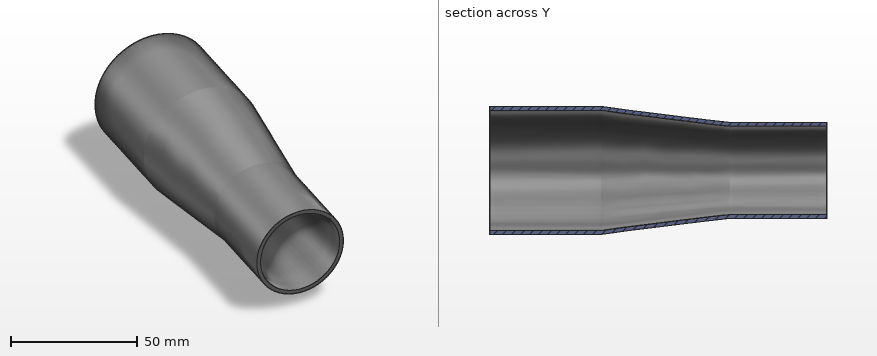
import cadquery as cq

total_length = 133.4
large_diameter = 50.8
small_diameter = 38.1
large_bore_diameter = 47.5
small_bore_diameter = 34.8
large_tube_length = 44.4
small_tube_length = 38.1

cone_start = large_tube_length
cone_end = total_length - small_tube_length


def reducer_solid(large_end_diameter, small_end_diameter):
    """Solid of revolution about X: large cylinder, cone, small cylinder."""
    large_radius = large_end_diameter / 2
    small_radius = small_end_diameter / 2
    half_profile = (
        cq.Workplane("XY")
        .moveTo(0, 0)
        .lineTo(0, large_radius)
        .lineTo(cone_start, large_radius)
        .lineTo(cone_end, small_radius)
        .lineTo(total_length, small_radius)
        .lineTo(total_length, 0)
        .close()
    )
    return half_profile.revolve(360, (0, 0, 0), (1, 0, 0))


outer_body = reducer_solid(large_diameter, small_diameter)
bore = reducer_solid(large_bore_diameter, small_bore_diameter)

result = outer_body.cut(bore)